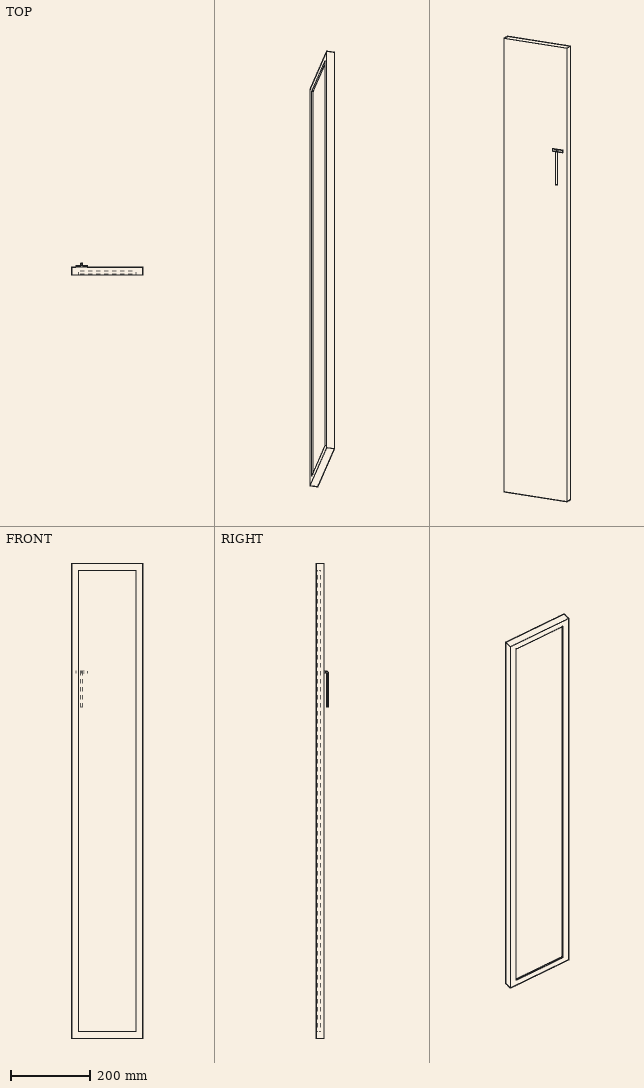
import cadquery as cq

width = 180.0
height = 1200.0
frame_depth = 20.0
overall_depth = 31.0
border = 18.0

pane_thickness = 7.0
pane_setback = 4.0

handle_x = -65.0
handle_top = 329.0
handle_length = 91.0
foot_width = 29.0
foot_thickness = 4.0
rod_diameter = 5.0
bend_radius = 4.0
foot_height = 6.0

opening_width = width - 2 * border
opening_height = height - 2 * border
pocket_depth = pane_setback + pane_thickness


def block(size_x, size_y, size_z, front_y):
    """Box centred on X and Z whose front face lies at front_y."""
    box = cq.Workplane("XY").box(size_x, size_y, size_z, centered=(True, False, True))
    return box.translate((0, front_y, 0))


def make_frame():
    pocket = block(opening_width, pocket_depth, opening_height, 0)
    return block(width, frame_depth, height, 0).cut(pocket)


def make_pane():
    return block(opening_width, pane_thickness, opening_height, pane_setback)


def make_handle():
    """Wide foot on the back of the frame, with a round rod bent down from it."""
    rod_z = handle_top - foot_height / 2
    rod_y = overall_depth - rod_diameter / 2
    rod_bottom = handle_top - handle_length
    foot = block(foot_width, foot_thickness, foot_height, frame_depth).translate((handle_x, 0, rod_z))
    rod_path = (
        cq.Workplane("YZ", origin=(handle_x, 0, 0))
        .moveTo(frame_depth, rod_z)
        .lineTo(rod_y - bend_radius, rod_z)
        .tangentArcPoint((rod_y, rod_z - bend_radius), relative=False)
        .lineTo(rod_y, rod_bottom)
    )
    rod = (
        cq.Workplane("XZ", origin=(handle_x, frame_depth, rod_z))
        .circle(rod_diameter / 2)
        .sweep(rod_path)
    )
    return foot.union(rod)


frame = make_frame()
pane = make_pane()
handle = make_handle()

result = cq.Compound.makeCompound([frame.val(), pane.val(), handle.val()])